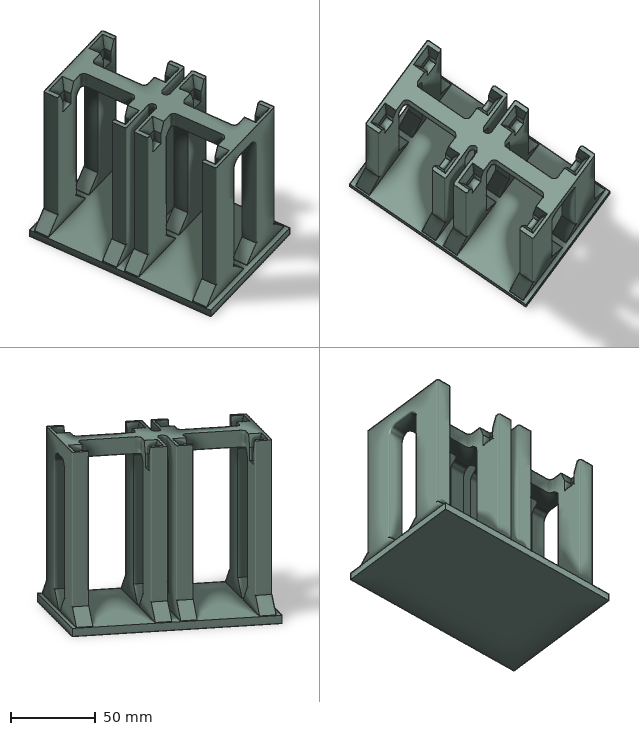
import cadquery as cq
PLATE_X = 127.75
PLATE_Y = 85.5
PLATE_T = 5.0

TOTAL_Z = 109.5
COLUMN_X = 10.0
COLUMN_Y = 20.0
COLUMN_PITCH_X = 48.0
COLUMN_PITCH_Y = 43.5
FRAME_PITCH_X = 63.5

EDGE_R = 1.0

OFFSET_X = -0.375
OFFSET_Y = -0.1

FOOT_FLARE = 10.0
FOOT_LIP = 0.25

BRIDGE_Z = 10.25
BRIDGE_Y = 10.0
BRIDGE_CORNER_R = 3.0
ARCH_R = 6.0

SOCKET_WALL_X = 2.0
SOCKET_Y = 14.5
SOCKET_TAPER = 3.0
SOCKET_TAPER_Z = 7.5
SOCKET_STRAIGHT_Z = 8.0

FRAME_Y = COLUMN_PITCH_Y + COLUMN_Y
OUTER_LEG_X = (FRAME_PITCH_X + COLUMN_PITCH_X) / 2
WINDOW_Y = COLUMN_PITCH_Y - COLUMN_Y
WINDOW_TOP = TOTAL_Z - BRIDGE_Z
FOOT_TOP = PLATE_T + FOOT_LIP + FOOT_FLARE


def box_between(x0, x1, y0, y1, z0, z1):
    """Axis-aligned box between opposite corners."""
    return cq.Workplane("XY").box(x1 - x0, y1 - y0, z1 - z0, centered=False).translate((x0, y0, z0))


def foot(x, y):
    """Flared foot of one column, spreading along Y only."""
    half = COLUMN_Y / 2
    wide = half + FOOT_FLARE
    outline = [
        (y - wide, 0),
        (y + wide, 0),
        (y + wide, PLATE_T + FOOT_LIP),
        (y + half, FOOT_TOP),
        (y - half, FOOT_TOP),
        (y - wide, PLATE_T + FOOT_LIP),
    ]
    profile = cq.Workplane("YZ").polyline(outline).close()
    return profile.extrude(COLUMN_X / 2, both=True).translate((x, 0, 0))


def portal(x, has_rim, outward):
    """Pair of columns joined by an arch; has_rim also rounds the window edge on the outward face."""
    y0 = OFFSET_Y - FRAME_Y / 2
    slab = box_between(x - COLUMN_X / 2, x + COLUMN_X / 2, y0, y0 + FRAME_Y, FOOT_TOP, TOTAL_Z)
    slab = slab.edges("|Z").fillet(EDGE_R)
    y_window = OFFSET_Y - WINDOW_Y / 2
    window = box_between(x - COLUMN_X, x + COLUMN_X, y_window, y_window + WINDOW_Y, 0, WINDOW_TOP)
    slab = slab.cut(window.edges("|X and >Z").fillet(ARCH_R))
    if has_rim:
        rim_zone = cq.selectors.BoxSelector(
            (x + outward * COLUMN_X / 4, y_window - EDGE_R, FOOT_TOP + EDGE_R),
            (x + outward * COLUMN_X, y_window + WINDOW_Y + EDGE_R, WINDOW_TOP + EDGE_R),
        )
        outer_face = ">X" if outward > 0 else "<X"
        slab = slab.faces(outer_face).edges(rim_zone).fillet(EDGE_R)
    return slab


def bridge():
    """Beam along X through the tops of all columns."""
    x0 = OFFSET_X - OUTER_LEG_X
    x1 = OFFSET_X + OUTER_LEG_X
    return box_between(x0, x1, OFFSET_Y - BRIDGE_Y / 2, OFFSET_Y + BRIDGE_Y / 2, WINDOW_TOP, TOTAL_Z)


def bridge_corner(face_x, direction, side):
    """Concave fillet between the bridge and a column face, pointing away along direction."""
    r = BRIDGE_CORNER_R
    x = face_x + direction * r
    bridge_face_y = OFFSET_Y + side * BRIDGE_Y / 2
    y = bridge_face_y + side * r
    block = box_between(
        min(face_x, x), max(face_x, x), min(bridge_face_y, y), max(bridge_face_y, y), WINDOW_TOP, TOTAL_Z
    )
    round_cut = cq.Workplane("XY", origin=(x, y, 0)).circle(r).extrude(TOTAL_Z)
    return block.cut(round_cut)


def socket_outline(face_x, inward, taper, z):
    """Socket cross-section at height z; it runs from the open column face into the column."""
    depth = COLUMN_X - SOCKET_WALL_X - taper
    width = SOCKET_Y - 2 * taper
    return cq.Workplane("XY", origin=(face_x - inward * depth / 2, 0, z)).rect(depth, width)


def socket(x, y, inward):
    """Socket cutter: a tapered mouth over a straight pocket, open on the inner column face."""
    face_x = x + inward * COLUMN_X / 2
    neck_z = TOTAL_Z - SOCKET_TAPER_Z
    mouth = socket_outline(face_x, inward, 0, TOTAL_Z).val()
    neck = socket_outline(face_x, inward, SOCKET_TAPER, neck_z)
    pocket = neck.extrude(-SOCKET_STRAIGHT_Z)
    funnel = cq.Workplane(cq.Solid.makeLoft([mouth, neck.val()], True))
    return pocket.union(funnel).translate((0, y, 0))


body = box_between(-PLATE_X / 2, PLATE_X / 2, -PLATE_Y / 2, PLATE_Y / 2, 0, PLATE_T)
body = body.union(bridge())
sockets = []
for frame_side in (-1, 1):
    frame_x = OFFSET_X + frame_side * FRAME_PITCH_X / 2
    for outward in (-1, 1):
        leg_x = frame_x + outward * COLUMN_PITCH_X / 2
        is_outermost = outward == frame_side
        body = body.union(portal(leg_x, is_outermost, outward))
        inner_face_x = leg_x - outward * COLUMN_X / 2
        outer_face_x = leg_x + outward * COLUMN_X / 2
        for side in (-1, 1):
            column_y = OFFSET_Y + side * COLUMN_PITCH_Y / 2
            body = body.union(foot(leg_x, column_y))
            body = body.union(bridge_corner(inner_face_x, -outward, side))
            if not is_outermost:
                body = body.union(bridge_corner(outer_face_x, outward, side))
            sockets.append(socket(leg_x, column_y, -outward))

for cutter in sockets:
    body = body.cut(cutter)

result = body